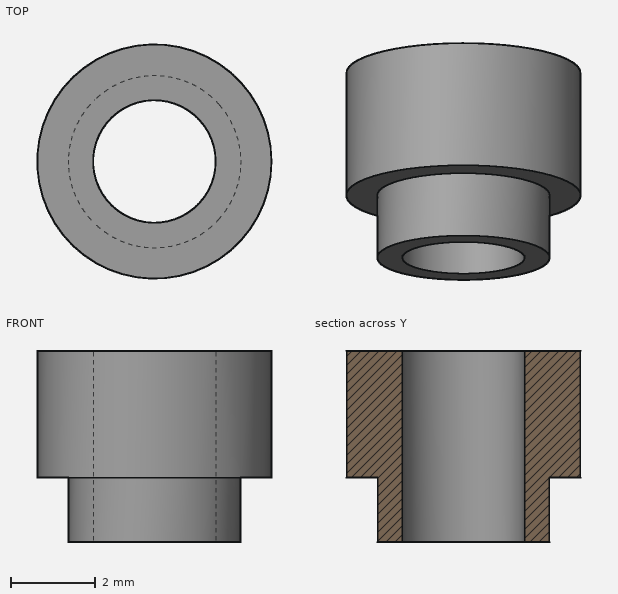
import cadquery as cq

body_diameter = 5.56
spigot_diameter = 4.09
bore_diameter = 2.9
total_height = 4.53
body_height = 3.0
spigot_height = total_height - body_height


def make_spigot():
    """Narrow lower cylinder, standing on the XY plane."""
    return cq.Workplane("XY").circle(spigot_diameter / 2).extrude(spigot_height)


def make_body():
    """Wide upper cylinder, resting on top of the spigot."""
    base = cq.Workplane("XY").workplane(offset=spigot_height)
    return base.circle(body_diameter / 2).extrude(body_height)


def make_bore():
    """Straight through bore along the common axis."""
    return cq.Workplane("XY").circle(bore_diameter / 2).extrude(total_height)


result = make_spigot().union(make_body()).cut(make_bore())